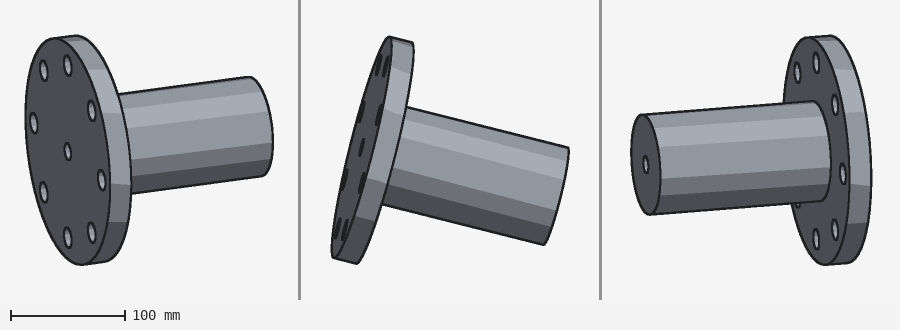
import cadquery as cq

flange_diameter = 200.0
flange_thickness = 20.0
total_length = 176.0
shaft_diameter = 88.0
center_hole_diameter = 15.0
bolt_hole_diameter = 18.0
bolt_circle_radius = 80.0
bolt_count = 8

base_plane = cq.Plane(origin=(0, 0, 0), xDir=(1, 0, 0), normal=(0, 1, 0))


def cylinder(diameter, length):
    """Cylinder on the part axis, starting at the outer flange face."""
    return cq.Workplane(base_plane).circle(diameter / 2).extrude(length)


def bolt_holes():
    """Ring of evenly spaced holes through the flange."""
    return (
        cq.Workplane(base_plane)
        .polarArray(bolt_circle_radius, 0, 360, bolt_count)
        .circle(bolt_hole_diameter / 2)
        .extrude(flange_thickness)
    )


flange = cylinder(flange_diameter, flange_thickness)
shaft = cylinder(shaft_diameter, total_length)
center_hole = cylinder(center_hole_diameter, total_length)

result = flange.union(shaft).cut(center_hole).cut(bolt_holes())